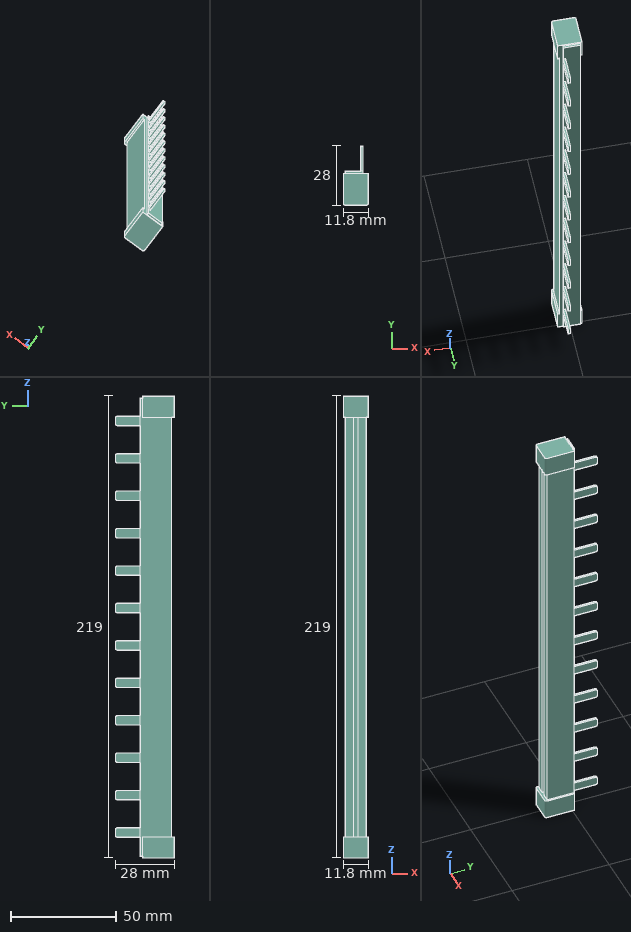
import cadquery as cq

length = 219.0
overall_depth = 28.0

cap_width = 11.8
cap_depth = 15.1
cap_height = 10.0
cap_edge_radius = 0.9

cap_wall = 0.9
cap_front_wall = 1.3
body_width = cap_width - 2 * cap_wall
body_length = length - 2 * cap_wall
rear_ledge_depth = 1.0

groove_width = 2.2
groove_depth = 4.4

pin_count = 12
pin_pitch = 17.7
pin_width = 4.5
pin_thickness = 1.0
pin_corner_radius = 1.0
pin_center_x = 2.8
pin_row_offset = 0.2

rear_face_y = cap_depth + rear_ledge_depth
pin_side_x = pin_center_x + pin_thickness / 2


def block(x_min, x_max, y_min, y_max, height):
    """Upright block centred on Z = 0."""
    return (
        cq.Workplane("XY")
        .box(x_max - x_min, y_max - y_min, height, centered=(False, False, True))
        .translate((x_min, y_min, 0))
    )


def make_body():
    """Long bar with a front groove and a rear ledge that stops at the pins."""
    half_width = body_width / 2
    half_groove = groove_width / 2
    bar = block(-half_width, half_width, cap_front_wall, cap_depth, body_length)
    ledge = block(-half_width, pin_side_x, cap_front_wall, rear_face_y, body_length)
    groove_floor_y = cap_front_wall + groove_depth
    groove = block(-half_groove, half_groove, cap_front_wall, groove_floor_y, body_length)
    return bar.union(ledge).cut(groove)


def make_cap(center_z):
    """Solid end cap with its upright front edges rounded."""
    half_width = cap_width / 2
    cap = block(-half_width, half_width, 0, cap_depth, cap_height)
    cap = cap.faces("<Y").edges("|Z").fillet(cap_edge_radius)
    return cap.translate((0, 0, center_z))


def make_pin(center_z):
    """Flat pin rooted inside the body, with its tip corners rounded."""
    pin_root_y = cap_depth / 2
    pin_inner_x = pin_side_x - pin_thickness
    pin = block(pin_inner_x, pin_side_x, pin_root_y, overall_depth, pin_width)
    pin = pin.faces(">Y").edges("|X").fillet(pin_corner_radius)
    return pin.translate((0, 0, center_z))


result = make_body()

cap_center_z = (length - cap_height) / 2
for side in (-1, 1):
    result = result.union(make_cap(side * cap_center_z))

first_pin_z = pin_row_offset - pin_pitch * (pin_count - 1) / 2
for index in range(pin_count):
    result = result.union(make_pin(first_pin_z + index * pin_pitch))